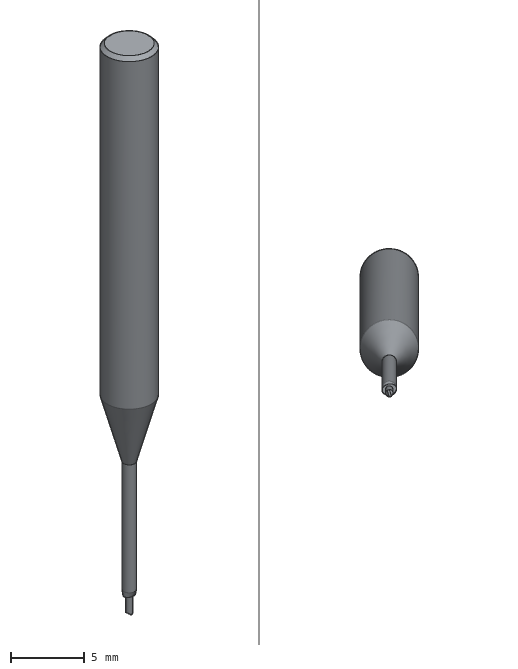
import cadquery as cq

overall_length = 45.0
shank_radius = 2.0
top_chamfer = 0.3
taper_top = 17.27

neck_top = 12.0
neck_radius = 0.5
neck_bottom = 1.5
tip_radius = 0.25

narrowing_height = 0.4
narrowed_radius_x = 0.37

roof_height = 0.15
ridge_half_width = 0.08


def make_shank():
    """Round shank, chamfered on top and tapering down to the neck."""
    profile = [
        (0, neck_top),
        (neck_radius, neck_top),
        (shank_radius, taper_top),
        (shank_radius, overall_length - top_chamfer),
        (shank_radius - top_chamfer, overall_length),
        (0, overall_length),
    ]
    return cq.Workplane("XZ").polyline(profile).close().revolve(360, (0, 0), (0, 1))


def make_neck():
    """Round neck whose lower end narrows along X from a circle to an ellipse."""
    narrowing_top = neck_bottom + narrowing_height
    straight_length = neck_top - narrowing_top
    straight = cq.Workplane("XY", origin=(0, 0, narrowing_top)).circle(neck_radius).extrude(straight_length)
    narrowing = (
        cq.Workplane("XY", origin=(0, 0, neck_bottom))
        .ellipse(narrowed_radius_x, neck_radius)
        .workplane(offset=narrowing_height)
        .circle(neck_radius)
        .loft(ruled=True)
    )
    return straight.union(narrowing)


def make_roof_cut(side):
    """Wedge below one slope of the tip's roof-shaped end; side is +1 or -1 along Y."""
    profile = [
        (side * ridge_half_width, 0),
        (side * tip_radius, 0),
        (side * tip_radius, roof_height),
    ]
    return cq.Workplane("YZ").polyline(profile).close().extrude(tip_radius, both=True)


def make_tip():
    """Thin round tip with a roof-shaped lower end."""
    tip = cq.Workplane("XY").circle(tip_radius).extrude(neck_bottom)
    for side in (1, -1):
        tip = tip.cut(make_roof_cut(side))
    return tip


shank = make_shank()
cutter = make_neck().union(make_tip())
result = cq.Compound.makeCompound([shank.val(), cutter.val()])